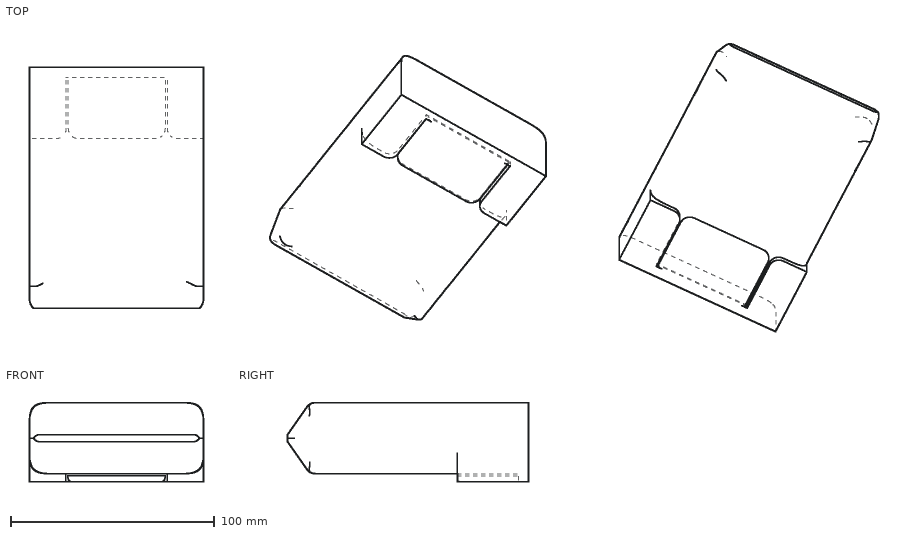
import cadquery as cq
import math

width = 85.7
length = 118.5
height = 39.0

foot_height = 4.0
body_height = height - foot_height
body_mid_z = foot_height + body_height / 2
nose_angle = 35.0
nose_flat = 3.5
nose_slope = math.tan(math.radians(nose_angle))
tip_y = -length
sharp_tip_y = tip_y - nose_flat / 2 * nose_slope
shoulder_y = sharp_tip_y + body_height / 2 * nose_slope
side_blend = 10.0
side_blend_fullness = 0.77
nose_radius = 5.0

foot_length = 35.0

recess_mouth_margin = 13.0
recess_mouth_radius = 5.0
recess_width = width - 2 * (recess_mouth_margin + recess_mouth_radius)
recess_back_wall = 5.0

tongue_gap = 1.0
tongue_width = recess_width - 2 * tongue_gap
tongue_height = foot_height - tongue_gap
tongue_corner_radius = 5.0
tongue_edge_radius = 2.0


def make_rounded_bar():
    """Bar along Y whose long edges are full, curvature-smooth corner blends."""
    half_width = width / 2
    half_height = body_height / 2
    handle_gap = side_blend * (1 - side_blend_fullness)

    def corner_blend(x_side, z_side):
        """Points of the cubic curve from the side wall to the top or bottom."""
        insets = [(0, side_blend), (0, handle_gap), (handle_gap, 0), (side_blend, 0)]
        return [
            (x_side * (half_width - x_inset), z_side * (half_height - z_inset))
            for x_inset, z_inset in insets
        ]

    upper_right = corner_blend(1, 1)
    upper_left = corner_blend(-1, 1)[::-1]
    lower_left = corner_blend(-1, -1)
    lower_right = corner_blend(1, -1)[::-1]
    profile = cq.Workplane("XZ", origin=(0, 0, body_mid_z)).moveTo(*lower_right[-1])
    for blend in (upper_right, upper_left, lower_left, lower_right):
        profile = profile.lineTo(*blend[0]).bezier(blend[1:], includeCurrent=True)
    return profile.close().extrude(length)


def make_body():
    """Slab with blended long edges and a wedge nose ending in a blunt tip."""
    slab = (
        cq.Workplane("YZ")
        .moveTo(0, foot_height)
        .lineTo(shoulder_y, foot_height)
        .lineTo(sharp_tip_y, body_mid_z)
        .lineTo(shoulder_y, height)
        .lineTo(0, height)
        .close()
        .extrude(width / 2, both=True)
    )
    nose_sides = slab.faces("<X or >X").edges("not(|Y or |Z)")
    shoulders = slab.faces("<Z or >Z").edges("|X and <Y")
    long_edges = slab.edges("|Y")
    slab = nose_sides.add(shoulders).add(long_edges).fillet(nose_radius)
    return slab.intersect(make_rounded_bar())


def make_foot():
    """Square-edged block at the back end, reaching up into the body."""
    return (
        cq.Workplane("XY")
        .box(width, foot_length, body_mid_z, centered=(True, False, False))
        .translate((0, -foot_length, 0))
    )


def make_recess():
    """Cutter for the foot recess, flared at the mouth by the rounded corners."""
    mouth_half_width = recess_width / 2 + recess_mouth_radius
    neck_y = -foot_length + recess_mouth_radius
    return (
        cq.Workplane("XY")
        .moveTo(-mouth_half_width, -foot_length)
        .radiusArc((-recess_width / 2, neck_y), -recess_mouth_radius)
        .lineTo(-recess_width / 2, -recess_back_wall)
        .lineTo(recess_width / 2, -recess_back_wall)
        .lineTo(recess_width / 2, neck_y)
        .radiusArc((mouth_half_width, -foot_length), -recess_mouth_radius)
        .close()
        .extrude(foot_height)
    )


def make_tongue():
    """Plate growing forward from the back wall, rounded at its free edges."""
    return (
        cq.Workplane("XY")
        .box(tongue_width, foot_length, tongue_height, centered=(True, False, False))
        .translate((0, -foot_length, 0))
        .edges("|Z and <Y")
        .fillet(tongue_corner_radius)
        .faces("<Z")
        .edges("not >Y")
        .fillet(tongue_edge_radius)
    )


result = make_body().union(make_foot()).cut(make_recess()).union(make_tongue())